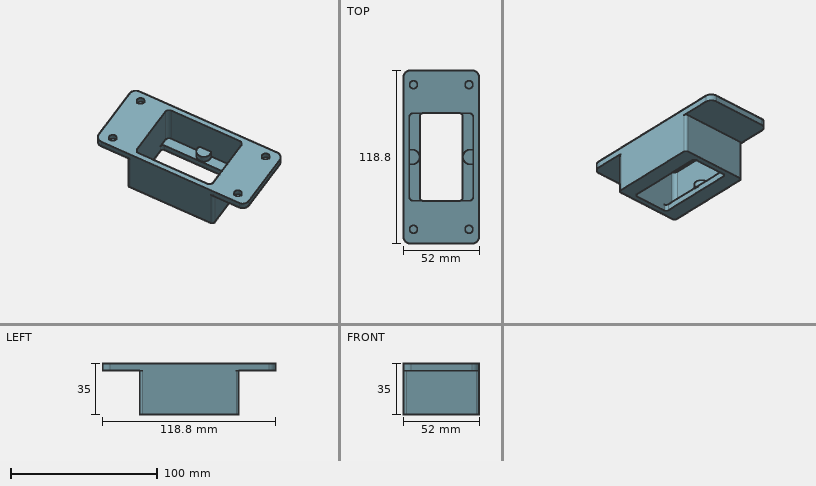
import cadquery as cq

FLANGE_WIDTH = 52.0
FLANGE_LENGTH = 118.8
FLANGE_THICKNESS = 5.0
FLANGE_CORNER_RADIUS = 5.0

TOTAL_HEIGHT = 35.0

BOX_LENGTH = 68.1
BOX_CORNER_RADIUS = 2.0

FLOOR_THICKNESS = 5.0
CAVITY_WIDTH = 44.1
CAVITY_LENGTH = 60.0
CAVITY_CORNER_RADIUS = 3.0
WINDOW_WIDTH = 29.0
WINDOW_CORNER_RADIUS = 2.0

POST_RADIUS = 5.1
POST_HEIGHT = 5.0
POST_OFFSET = 20.0

HOLE_DIAMETER = 5.3
HOLE_DEPTH = 4.0
HOLE_SPACING_X = 38.0
HOLE_SPACING_Y = 99.0


def rounded_block(width, length, height, corner_radius, base_z):
    """Block centred on the Z axis with rounded vertical edges."""
    block = cq.Workplane("XY", origin=(0, 0, base_z)).rect(width, length).extrude(height)
    return block.edges("|Z").fillet(corner_radius)


def make_shell():
    """Flange and box, hollowed from above, with the floor window cut through."""
    flange_base = TOTAL_HEIGHT - FLANGE_THICKNESS
    cavity_depth = TOTAL_HEIGHT - FLOOR_THICKNESS
    flange = rounded_block(
        FLANGE_WIDTH, FLANGE_LENGTH, FLANGE_THICKNESS, FLANGE_CORNER_RADIUS, flange_base
    )
    box = rounded_block(FLANGE_WIDTH, BOX_LENGTH, TOTAL_HEIGHT, BOX_CORNER_RADIUS, 0)
    cavity = rounded_block(
        CAVITY_WIDTH, CAVITY_LENGTH, cavity_depth, CAVITY_CORNER_RADIUS, FLOOR_THICKNESS
    )
    window = rounded_block(
        WINDOW_WIDTH, CAVITY_LENGTH, FLOOR_THICKNESS, WINDOW_CORNER_RADIUS, 0
    )
    return flange.union(box).cut(cavity).cut(window)


def make_posts():
    """Two round posts whose outer parts lie inside the side walls."""
    return (
        cq.Workplane("XY", origin=(0, 0, FLOOR_THICKNESS))
        .pushPoints([(-POST_OFFSET, 0), (POST_OFFSET, 0)])
        .circle(POST_RADIUS)
        .extrude(POST_HEIGHT)
    )


def make_screw_holes():
    """Four blind holes near the flange corners."""
    return (
        cq.Workplane("XY", origin=(0, 0, TOTAL_HEIGHT - HOLE_DEPTH))
        .rarray(HOLE_SPACING_X, HOLE_SPACING_Y, 2, 2)
        .circle(HOLE_DIAMETER / 2)
        .extrude(HOLE_DEPTH)
    )


result = make_shell().union(make_posts()).cut(make_screw_holes())